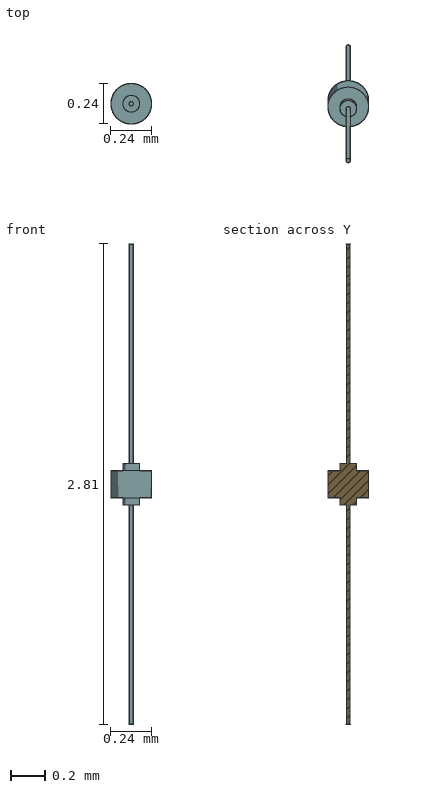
import cadquery as cq

lead_length = 2.81
lead_diameter = 0.025
body_diameter = 0.24
body_height = 0.16
collar_diameter = 0.098
collar_height = 0.042


def centred_cylinder(diameter, height):
    """Cylinder along Z with its middle at the origin."""
    return cq.Workplane("XY").cylinder(height, diameter / 2)


lead = centred_cylinder(lead_diameter, lead_length)
collars = centred_cylinder(collar_diameter, body_height + 2 * collar_height)
body = centred_cylinder(body_diameter, body_height)

result = body.union(collars).union(lead)